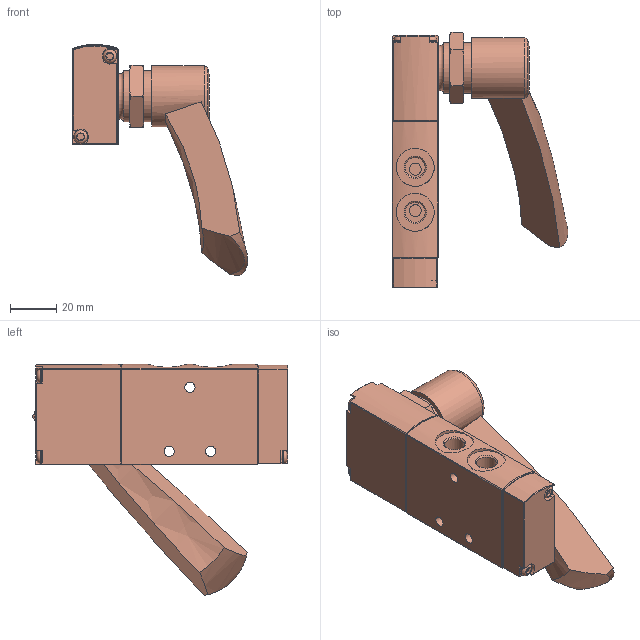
import cadquery as cq
import math


block_width = 20.0
block_height = 43.5
crown_rise = 1.75
cap_length = 13.0
middle_length = 59.3
head_length = 37.2
setback = 0.35
edge_chamfer = 0.3
middle_start = cap_length
head_start = middle_start + middle_length
block_end = head_start + head_length

hole_centre_y = 42.5
port_pitch = 19.5
passage_pitch = 18.0
port_spot_diameter = 16.5
port_spot_depth = 1.5
port_mouth_diameter = 9.7
port_bore_diameter = 8.57
port_depth = 12.0
passage_diameter = 5.2
passage_depth = 8.0
mount_diameter = 4.4
mount_low_z = 5.8
mount_high_z = 33.6

screw_x = 6.35
screw_low_z = 3.4
screw_high_z = 38.4
pocket_diameter = 6.8
pocket_depth = 3.0
screw_diameter = 5.92
screw_rim_height = 1.0
screw_height = 2.6
screw_top_diameter = 3.4
dome_swell = 0.25
socket_diameter = 3.0
socket_depth = 1.2
knurl_count = 24
knurl_width = 0.35
knurl_depth = 0.3

axis_y = 95.4
axis_z = 21.0
head_face_x = block_width / 2
neck_diameter = 20.38
neck_waist_diameter = 19.6
collar_diameter = 22.0
collar_start_x = 12.3
nut_start_x = 15.0
nut_thickness = 6.0
nut_flats = 27.0
nut_corners = nut_flats / math.cos(math.pi / 6)
nut_face_diameter = 29.2
nut_bevel_height = 0.5
hub_start_x = 24.5
hub_diameter = 26.4
hub_shoulder_x = 47.3
hub_rim_x = 48.8
hub_rim_diameter = 25.0
hub_end_x = 49.5
hub_end_diameter = 18.0

arm_angle = 45.0
arm_length = 100.9
arm_side_end = 96.8
arm_side_slope = 0.34
inner_peak_half_width = 7.6
inner_bend_radius = 220.0
inner_peak_along = 95.0
inner_peak_x = 46.3
outer_bend_radius = 340.0
outer_peak_along = 118.6
outer_peak_x = 63.45
back_bend_radius = 800.0
back_peak_along = 222.0
back_peak_x = 75.45
inner_groove_radius = 33.0
arm_stations = (0.0, 26.0, 52.0, 78.0, 104.0)
bevel_start = 88.3
bevel_middle_along = 97.2
bevel_middle_x = 57.9
bevel_end_x = 64.8


def crowned_block(x_left, x_right, z_bottom, z_top, y_start, length):
    """A block with a crowned top, chamfered on all its outer edges."""
    z_shoulder = z_top - crown_rise
    outline = (
        cq.Workplane("XZ", origin=(0, y_start, 0))
        .moveTo(x_left, z_bottom)
        .lineTo(x_right, z_bottom)
        .lineTo(x_right, z_shoulder)
        .threePointArc(((x_left + x_right) / 2, z_top), (x_left, z_shoulder))
        .close()
    )
    return outline.extrude(-length).edges().chamfer(edge_chamfer)


def box_between(x0, x1, y0, y1, z0, z1):
    return cq.Workplane("XY").box(x1 - x0, y1 - y0, z1 - z0, centered=False).translate((x0, y0, z0))


def screw():
    """A knurled, domed socket screw head standing on Z = 0."""
    rim = screw_diameter / 2
    top = screw_top_diameter / 2
    bulge = (
        (rim + top) / 2 + dome_swell,
        (screw_rim_height + screw_height) / 2 + dome_swell,
    )
    head = (
        cq.Workplane("XZ")
        .lineTo(rim, 0)
        .lineTo(rim, screw_rim_height)
        .threePointArc(bulge, (top, screw_height))
        .lineTo(0, screw_height)
        .close()
        .revolve(360, (0, 0, 0), (0, 1, 0))
    )
    grooves = (
        cq.Workplane("XY")
        .polarArray(rim, 0, 360, knurl_count)
        .rect(2 * knurl_depth, knurl_width)
        .extrude(screw_rim_height)
    )
    socket = (
        cq.Workplane("XY", origin=(0, 0, screw_height - socket_depth))
        .polygon(6, socket_diameter)
        .extrude(socket_depth)
    )
    return head.cut(grooves).cut(socket)


def add_corner_screw(block, x, z, y_face, outward, open_above=False):
    """Sinks a screw into an end face; `outward` is the Y direction that the face looks in."""
    y_floor = y_face - outward * pocket_depth
    floor = cq.Plane(origin=(x, y_floor, z), xDir=(1, 0, 0), normal=(0, outward, 0))
    y_near, y_far = sorted((y_floor, y_face))
    x_near, x_far = sorted((x, math.copysign(block_width, x)))
    half_opening = screw_diameter / 2
    z_low = 0 if z < block_height / 2 else z - half_opening
    z_high = block_height if open_above else z + half_opening
    pocket = cq.Workplane(floor).circle(pocket_diameter / 2).extrude(pocket_depth)
    opening = box_between(x_near, x_far, y_near, y_far, z_low, z_high)
    head = screw().val().located(cq.Location(floor))
    return block.cut(pocket).cut(opening).union(cq.Workplane(head))


def make_middle():
    middle = crowned_block(
        -block_width / 2, block_width / 2, 0, block_height, middle_start, middle_length
    )
    spot_z = block_height - port_spot_depth
    mouth_chamfer = (port_mouth_diameter - port_bore_diameter) / 2
    for side in (-1, 1):
        port_y = hole_centre_y + side * port_pitch / 2
        passage_y = hole_centre_y + side * passage_pitch / 2
        spot = cq.Workplane("XY", origin=(0, port_y, spot_z))
        bore_floor = cq.Workplane("XY", origin=(0, passage_y, spot_z - port_depth))
        mouth = cq.Solid.makeCone(
            port_bore_diameter / 2,
            port_mouth_diameter / 2,
            mouth_chamfer,
            pnt=cq.Vector(0, port_y, spot_z - mouth_chamfer),
        )
        middle = (
            middle.cut(spot.circle(port_spot_diameter / 2).extrude(port_spot_depth))
            .cut(spot.circle(port_bore_diameter / 2).extrude(-port_depth))
            .cut(cq.Workplane(mouth))
            .cut(bore_floor.circle(passage_diameter / 2).extrude(-passage_depth))
        )
    mounts = [
        (hole_centre_y, mount_high_z),
        (hole_centre_y - passage_pitch / 2, mount_low_z),
        (hole_centre_y + passage_pitch / 2, mount_low_z),
    ]
    mount_holes = (
        cq.Workplane("YZ", origin=(-block_width / 2, 0, 0))
        .pushPoints(mounts)
        .circle(mount_diameter / 2)
        .extrude(block_width)
    )
    return middle.cut(mount_holes)


def make_cap():
    half_width = block_width / 2 - setback
    cap = crowned_block(-half_width, half_width, setback, block_height - setback, 0, cap_length)
    cap = add_corner_screw(cap, -screw_x, screw_low_z, 0, -1)
    return add_corner_screw(cap, screw_x, screw_high_z, 0, -1)


def hex_nut():
    """A hexagon with flats facing +Z and -Z, its corners rounded off by cones at both faces."""
    bevel = (nut_corners - nut_face_diameter) / 2
    hexagon = (
        cq.Workplane("YZ", origin=(nut_start_x, axis_y, axis_z))
        .polygon(6, nut_corners)
        .extrude(nut_thickness)
    )
    rounding = (
        cq.Workplane("YZ", origin=(nut_start_x, axis_y, axis_z))
        .circle(nut_corners / 2)
        .extrude(nut_thickness)
        .edges()
        .chamfer(nut_bevel_height, bevel)
    )
    return hexagon.intersect(rounding)


def turned_about_axis(outline):
    """Revolves an outline, drawn as X and radius, about the common axis."""
    return outline.close().revolve(360, (0, 0, 0), (1, 0, 0))


def axis_sketch():
    return cq.Workplane("XY", origin=(0, axis_y, axis_z))


def make_head():
    head = crowned_block(
        setback - block_width / 2, block_width / 2, 0, block_height, head_start, head_length
    )
    for x in (-screw_x, screw_x):
        head = add_corner_screw(head, x, screw_low_z, block_end, 1)
        head = add_corner_screw(head, x, screw_high_z, block_end, 1, open_above=True)
    neck = turned_about_axis(
        axis_sketch()
        .moveTo(head_face_x, 0)
        .lineTo(head_face_x, neck_diameter / 2)
        .threePointArc(
            ((head_face_x + collar_start_x) / 2, neck_waist_diameter / 2),
            (collar_start_x, collar_diameter / 2),
        )
        .lineTo(hub_start_x, collar_diameter / 2)
        .lineTo(hub_start_x, 0)
    )
    return head.union(neck).union(hex_nut())


def arm_half_width(x):
    """The flat sides of the arm spread evenly from the inner face to the back."""
    return inner_peak_half_width + arm_side_slope * (x - inner_peak_x)


def bend_x(along, peak_x, peak_along, bend_radius):
    """X of a bent edge of the arm, at a distance along the arm from the hub axis."""
    return peak_x - bend_radius + math.sqrt(bend_radius**2 - (along - peak_along) ** 2)


def outer_edge_x(along):
    return bend_x(along, outer_peak_x, outer_peak_along, outer_bend_radius)


def arm_section(along):
    """The arm's cross section: a narrow, hollow inner face at -X and a round back at +X."""
    inner_x = bend_x(along, inner_peak_x, inner_peak_along, inner_bend_radius)
    outer_x = outer_edge_x(along)
    inner = arm_half_width(inner_x)
    outer = arm_half_width(outer_x)
    back_x = bend_x(along, back_peak_x, back_peak_along, back_bend_radius)
    groove_x = inner_x + inner_groove_radius - math.sqrt(inner_groove_radius**2 - inner**2)
    return (
        cq.Workplane("XZ", origin=(0, -along, 0))
        .moveTo(inner_x, -inner)
        .lineTo(outer_x, -outer)
        .threePointArc((back_x, 0), (outer_x, outer))
        .lineTo(inner_x, inner)
        .threePointArc((groove_x, 0), (inner_x, -inner))
        .close()
        .wires()
        .val()
    )


def make_arm():
    """The arm, built along -Y from the hub axis and then turned down by 45 degrees."""
    arm = cq.Workplane(cq.Solid.makeLoft([arm_section(along) for along in arm_stations]))
    end_half_width = arm_half_width(outer_edge_x(arm_side_end))
    beyond_tip = -(arm_stations[-1] + 1)
    round_end = (
        cq.Workplane("YZ")
        .moveTo(hub_diameter, -2 * end_half_width)
        .lineTo(hub_diameter, 2 * end_half_width)
        .lineTo(-arm_side_end, 2 * end_half_width)
        .lineTo(-arm_side_end, end_half_width)
        .threePointArc((-arm_length, 0), (-arm_side_end, -end_half_width))
        .lineTo(-arm_side_end, -2 * end_half_width)
        .close()
        .extrude(back_peak_x)
    )
    tip_bevel = (
        cq.Workplane("XY")
        .moveTo(inner_peak_x, -bevel_start)
        .threePointArc((bevel_middle_x, -bevel_middle_along), (bevel_end_x, -arm_length))
        .lineTo(bevel_end_x, beyond_tip)
        .lineTo(0, beyond_tip)
        .lineTo(0, -bevel_start)
        .close()
        .extrude(2 * end_half_width, both=True)
    )
    arm = arm.intersect(round_end).cut(tip_bevel)
    return arm.rotate((0, 0, 0), (1, 0, 0), arm_angle).translate((0, axis_y, axis_z))


def make_lever():
    hub = turned_about_axis(
        axis_sketch()
        .moveTo(hub_start_x, 0)
        .lineTo(hub_start_x, hub_diameter / 2)
        .lineTo(hub_shoulder_x, hub_diameter / 2)
        .lineTo(hub_rim_x, hub_rim_diameter / 2)
        .lineTo(hub_end_x, hub_end_diameter / 2)
        .lineTo(hub_end_x, 0)
    )
    return hub.union(make_arm())


middle = make_middle()
cap = make_cap()
head = make_head()
lever = make_lever()
result = cq.Compound.makeCompound([middle.val(), cap.val(), head.val(), lever.val()])